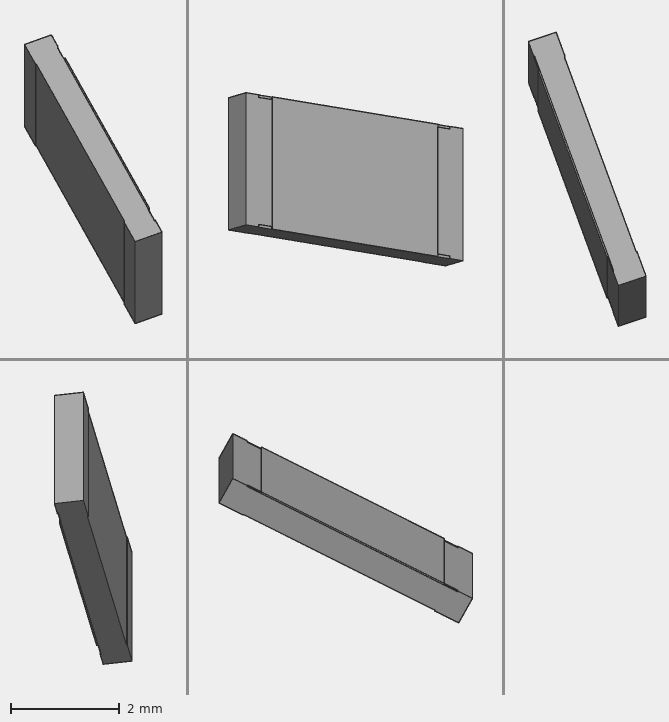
import cadquery as cq

length = 5.0
height = 2.5
thickness = 0.56

terminal_step = 0.015
front_terminal_width = 0.5
back_terminal_width = 0.3

film_margin = 0.05

coat_length = 3.815
coat_thickness = 0.03
coat_drop = 0.001

body_height = height - coat_drop
film_length = length - 2 * back_terminal_width
film_height = body_height - 2 * film_margin

terminal_front = -thickness / 2
core_front = terminal_front + terminal_step
coat_back = thickness / 2
core_back = coat_back - coat_thickness
terminal_back = core_back + terminal_step


def slab(slab_length, slab_height, front, back):
    """Block centred in X and Z, reaching from front to back along Y."""
    block = cq.Workplane("XY").box(slab_length, back - front, slab_height)
    return block.translate((0, (front + back) / 2, 0))


body = slab(length, body_height, terminal_front, terminal_back)
front_relief_length = length - 2 * front_terminal_width
front_relief = slab(front_relief_length, body_height, terminal_front, core_front)
back_relief = slab(film_length, body_height, core_back, terminal_back)

film = slab(film_length, film_height, core_back, terminal_back)
coat = slab(coat_length, body_height, core_back, coat_back).translate((0, 0, -coat_drop))

result = body.cut(front_relief).cut(back_relief).union(film).union(coat)